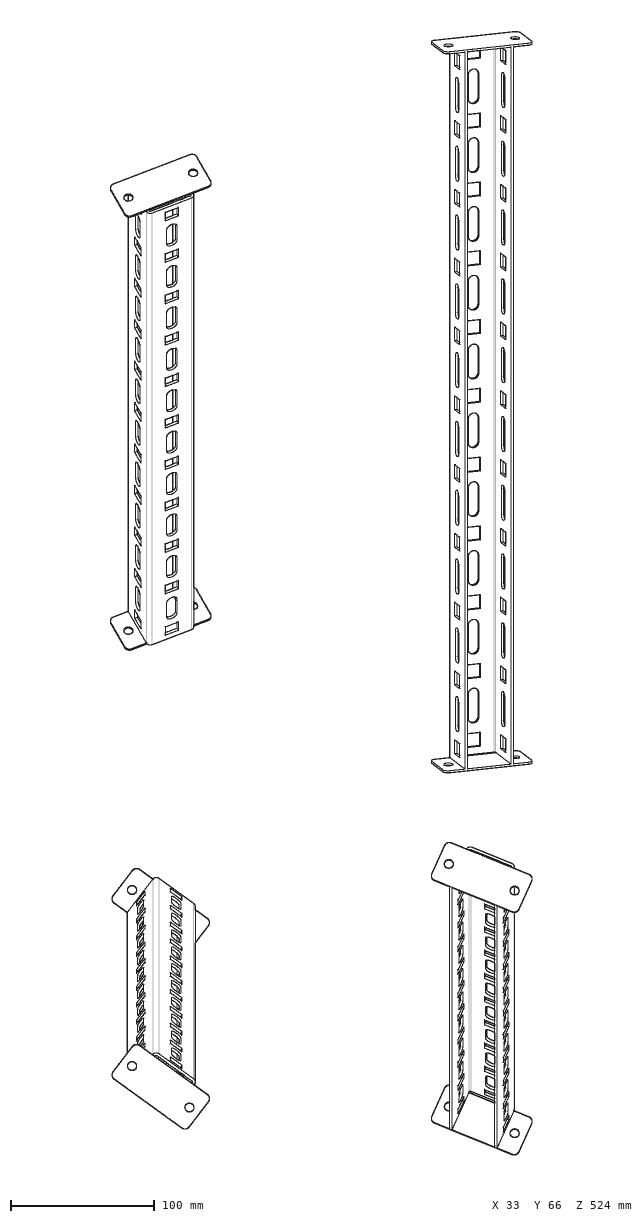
import cadquery as cq

total_height = 524.0
plate_thickness = 1.5
plate_depth = 30.0
plate_length = 66.0
plate_corner_radius = 3.5
plate_hole_diameter = 6.5
plate_hole_spacing = 50.0

channel_depth = 33.0
channel_width = 36.0
wall_thickness = 2.0
bend_outer_radius = 3.0
bend_inner_radius = bend_outer_radius - wall_thickness
channel_height = total_height - 2 * plate_thickness

end_margin = 10.5
square_count = 11
slot_count = square_count - 1
hole_pitch = (channel_height - 2 * end_margin) / slot_count
square_size = 10.0
slot_length = 25.0
flange_slot_width = 7.0
flange_hole_x = 15.5
web_slot_width = 8.0

plate_center_x = plate_depth / 2


def end_plate(bottom_z):
    """Flat plate with rounded corners and a fixing hole near each end."""
    return (
        cq.Workplane("XY", origin=(plate_center_x, 0, bottom_z))
        .rect(plate_depth, plate_length)
        .extrude(plate_thickness)
        .edges("|Z")
        .fillet(plate_corner_radius)
        .faces(">Z")
        .workplane(origin=(plate_center_x, 0, 0))
        .rarray(5, plate_hole_spacing, 1, 2)
        .hole(plate_hole_diameter)
    )


def channel():
    """U-shaped channel with rounded bends, standing centred on Z = 0."""
    inner_depth = channel_depth - wall_thickness
    inner_width = channel_width - 2 * wall_thickness
    base = cq.Workplane("XY", origin=(0, 0, -channel_height / 2))
    outer = (
        base.rect(2 * channel_depth, channel_width)
        .extrude(channel_height)
        .edges("|Z")
        .fillet(bend_outer_radius)
    )
    inner = (
        base.rect(2 * inner_depth, inner_width)
        .extrude(channel_height)
        .edges("|Z")
        .fillet(bend_inner_radius)
    )
    open_side = (
        base.center(-channel_depth / 2, 0)
        .rect(channel_depth, channel_width)
        .extrude(channel_height)
    )
    return outer.cut(inner).cut(open_side)


def perforation(plane, depth, slot_width):
    """Column of squares and upright slots, extending the given depth both ways from the plane."""
    squares = (
        plane.rarray(5, hole_pitch, 1, square_count)
        .rect(square_size, square_size)
        .extrude(depth, both=True)
    )
    slots = (
        plane.rarray(5, hole_pitch, 1, slot_count)
        .slot2D(slot_length, slot_width, 90)
        .extrude(depth, both=True)
    )
    return squares.union(slots)


flange_plane = cq.Workplane("XZ", origin=(flange_hole_x, 0, 0))
web_plane = cq.Workplane("YZ", origin=(channel_depth, 0, 0))
flange_holes = perforation(flange_plane, channel_width, flange_slot_width)
web_holes = perforation(web_plane, 2 * wall_thickness, web_slot_width)

result = (
    channel()
    .cut(flange_holes)
    .cut(web_holes)
    .union(end_plate(channel_height / 2))
    .union(end_plate(-total_height / 2))
)